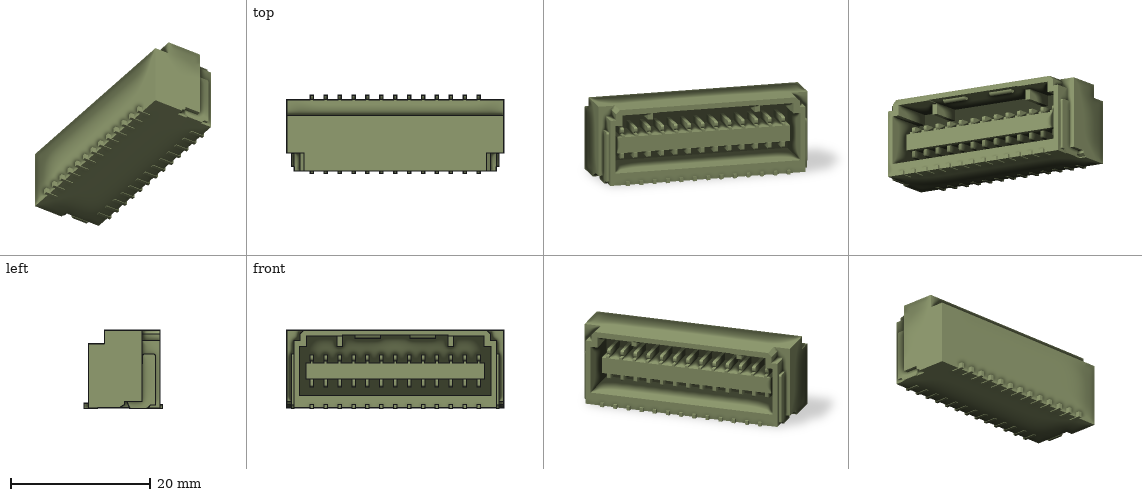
import cadquery as cq


body_length = 31.2
body_depth = 10.3
top = 11.3
standoff = 0.1
half_length = body_length / 2
rear_step_y = 8.0
rear_step_drop = 1.95

shoulder_depth = 2.6
side_relief = 1.05
ledge_drop = 1.5
upper_relief = 1.9
corner_chamfer = 0.55

undercut_roof = 1.0
undercut_rear_y = 5.1
undercut_step_z = 0.6
undercut_end_y = 5.7
undercut_end_z = 0.25

cavity_depth = 7.0
cavity_inset = 1.8
cavity_floor = 1.9
cavity_shoulder_z = 8.95
cavity_upper_inset = 2.85
ceiling_z = 10.48
center_half_length = 7.6
center_ceiling_z = 10.56

key_width = 0.75
key_front_y = 2.2
ridge_length = 3.7
ridge_radius = 0.45
ridge_center_x = 3.95
ridge_y = 1.5

tongue_half_length = 12.85
tongue_front_y = 2.2
tongue_bottom = 4.25
tongue_top = 6.6

contact_count = 13
pitch = 2.0
contact_positions = [(index - (contact_count - 1) / 2) * pitch for index in range(contact_count)]
contact_width = 0.5
contact_front_y = 2.8
upper_contact_top = 7.75
lower_contact_bottom = 3.15
contact_tip_radius = 0.28
upper_underside_radius = 0.42
spacer_width = 0.42
spacer_height = 0.28
spacer_top = tongue_top + spacer_height

front_lead_reach = 0.35
front_lead_height = 0.6
front_foot_end_y = 1.8
rear_lead_reach = 0.65
rear_lead_height = 0.8
rear_foot_start_y = 9.0

tab_thickness = 0.38
tab_front_y = 0.67
tab_rear_y = 2.53
tab_top = 7.85
tab_neck_z = 6.5
tab_corner_radius = 0.3
tab_lower_z = 0.5
tab_lower_radius = 0.15
foot_slope_y = 1.4
foot_front_y = 1.85
foot_rear_y = 4.35
foot_top_rear_y = 4.75


def block(x_min, x_max, y_min, y_max, z_min, z_max):
    size = (x_max - x_min, y_max - y_min, z_max - z_min)
    return cq.Workplane("XY").box(*size, centered=False).translate((x_min, y_min, z_min))


def centered_block(x, width, y_min, y_max, z_min, z_max):
    return block(x - width / 2, x + width / 2, y_min, y_max, z_min, z_max)


def both_ends(shape):
    """The shape together with its mirror image at the other end of the part."""
    return shape.union(shape.mirror("YZ"))


def housing():
    step_z = top - rear_step_drop
    profile = [
        (0, standoff),
        (body_depth, standoff),
        (body_depth, step_z),
        (rear_step_y, step_z),
        (rear_step_y, top),
        (0, top),
    ]
    return cq.Workplane("YZ").polyline(profile).close().extrude(half_length, both=True)


def corner_relief():
    side_x = -half_length + side_relief
    upper_x = -half_length + upper_relief
    ledge_z = top - ledge_drop
    outline = [
        (-half_length, standoff),
        (side_x, standoff),
        (side_x, ledge_z),
        (upper_x, ledge_z),
        (upper_x, top - corner_chamfer),
        (upper_x + corner_chamfer, top),
        (-half_length, top),
    ]
    return cq.Workplane("XZ").polyline(outline).close().extrude(-shoulder_depth)


def end_undercut():
    outline = [
        (0, standoff),
        (0, undercut_roof),
        (undercut_rear_y, undercut_roof),
        (undercut_rear_y, undercut_step_z),
        (undercut_end_y, undercut_end_z),
        (undercut_end_y, standoff),
    ]
    cut = cq.Workplane("YZ").polyline(outline).close().extrude(side_relief)
    return cut.translate((-half_length, 0, 0))


def cavity():
    lower_x = half_length - cavity_inset
    upper_x = half_length - cavity_upper_inset
    lower = block(-lower_x, lower_x, 0, cavity_depth, cavity_floor, cavity_shoulder_z)
    upper = block(-upper_x, upper_x, 0, cavity_depth, cavity_floor, ceiling_z)
    center = block(-center_half_length, center_half_length, 0, cavity_depth, cavity_floor, center_ceiling_z)
    return lower.union(upper).union(center)


def keying_rib():
    outer_x = -center_half_length - key_width
    return block(
        outer_x, -center_half_length, key_front_y, cavity_depth, cavity_shoulder_z, center_ceiling_z
    )


def latch_ridge():
    ridge = cq.Workplane("YZ").circle(ridge_radius).extrude(ridge_length / 2, both=True)
    return ridge.translate((-ridge_center_x, ridge_y, center_ceiling_z))


def tongue():
    """The tongue with a raised spacer under each upper contact."""
    body = block(
        -tongue_half_length, tongue_half_length, tongue_front_y, cavity_depth, tongue_bottom, tongue_top
    )
    for x in contact_positions:
        spacer = centered_block(x, spacer_width, tongue_front_y, cavity_depth, tongue_bottom, spacer_top)
        body = body.union(spacer)
    return body


def upper_contact(x):
    blade = centered_block(x, contact_width, contact_front_y, cavity_depth, spacer_top, upper_contact_top)
    blade = blade.edges("<Y and >Z").fillet(contact_tip_radius)
    return blade.edges("<Y and <Z").fillet(upper_underside_radius)


def lower_contact(x):
    blade = centered_block(
        x, contact_width, contact_front_y, cavity_depth, lower_contact_bottom, tongue_bottom
    )
    return blade.edges("|X and <Y").fillet(contact_tip_radius)


def solder_leads(x):
    front = centered_block(x, contact_width, -front_lead_reach, front_foot_end_y, 0, front_lead_height)
    rear_tip_y = body_depth + rear_lead_reach
    rear = centered_block(x, contact_width, rear_foot_start_y, rear_tip_y, 0, rear_lead_height)
    return front.union(rear)


def solder_tab():
    outline = [
        (foot_rear_y, 0),
        (foot_front_y, 0),
        (foot_slope_y, tab_lower_z),
        (tab_front_y, tab_lower_z),
        (tab_front_y, tab_top),
        (tab_rear_y, tab_top),
        (tab_rear_y, tab_neck_z),
        (shoulder_depth, tab_neck_z),
        (shoulder_depth, undercut_roof),
        (foot_top_rear_y, undercut_roof),
    ]
    tab = cq.Workplane("YZ").polyline(outline).close().extrude(tab_thickness)
    tab = tab.edges("|X and >Z").fillet(tab_corner_radius)
    tab = tab.edges(cq.selectors.NearestToPointSelector((tab_thickness / 2, tab_front_y, tab_lower_z)))
    tab = tab.fillet(tab_lower_radius)
    return tab.translate((-half_length + side_relief - tab_thickness, 0, 0))


result = housing().cut(both_ends(corner_relief())).cut(both_ends(end_undercut())).cut(cavity())
result = result.union(both_ends(keying_rib())).union(both_ends(latch_ridge())).union(tongue())
for contact_x in contact_positions:
    result = result.union(upper_contact(contact_x))
    result = result.union(lower_contact(contact_x))
    result = result.union(solder_leads(contact_x))
result = result.union(both_ends(solder_tab()))